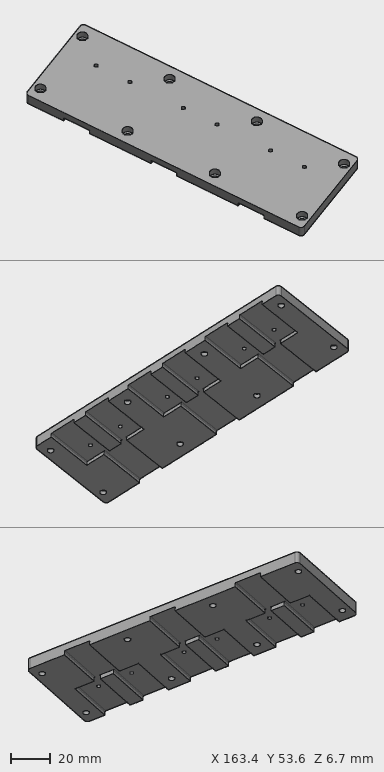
import cadquery as cq

LENGTH = 163.4
WIDTH = 53.6
THICKNESS = 6.7
CORNER_RADIUS = 2.0

STATION_COUNT = 3
STATION_PITCH = 51.5

SCREW_ROW_SPACING = 39.5
SCREW_DIAMETER = 3.3
COUNTERBORE_DIAMETER = 5.5
COUNTERBORE_DEPTH = 4.1

PIN_DIAMETER = 2.0
PIN_SPACING = 20.0
PIN_Y = 7.5

CHANNEL_WIDTH = 15.2
CHANNEL_HEIGHT = 2.5
CHANNEL_FILLET = 0.5
INPUT_SPACING = 23.0


def centred_positions(count, pitch):
    """Return evenly spaced positions centred on zero."""
    return [(i - (count - 1) / 2) * pitch for i in range(count)]


def channel(x, side):
    """Channel with rounded upper corners, from the centre line to the front (-1) or back (+1) edge."""
    channel_length = WIDTH / 2
    return (
        cq.Workplane("XY")
        .center(x, side * channel_length / 2)
        .rect(CHANNEL_WIDTH, channel_length)
        .extrude(CHANNEL_HEIGHT)
        .edges("|Y and >Z")
        .fillet(CHANNEL_FILLET)
    )


def station_channels(x):
    """One output channel meeting two input channels at the centre line."""
    channels = channel(x, -1)
    for offset in centred_positions(2, INPUT_SPACING):
        channels = channels.union(channel(x + offset, 1))
    return channels


station_centres = centred_positions(STATION_COUNT, STATION_PITCH)

result = (
    cq.Workplane("XY")
    .box(LENGTH, WIDTH, THICKNESS, centered=(True, True, False))
    .edges("|Z")
    .fillet(CORNER_RADIUS)
)

for station_x in station_centres:
    result = result.cut(station_channels(station_x))

screw_points = [
    (x, y)
    for x in centred_positions(STATION_COUNT + 1, STATION_PITCH)
    for y in centred_positions(2, SCREW_ROW_SPACING)
]
result = (
    result.faces(">Z")
    .workplane(origin=(0, 0, THICKNESS))
    .pushPoints(screw_points)
    .cboreHole(SCREW_DIAMETER, COUNTERBORE_DIAMETER, COUNTERBORE_DEPTH)
)

pin_points = [
    (x + offset, PIN_Y)
    for x in station_centres
    for offset in centred_positions(2, PIN_SPACING)
]
result = (
    result.faces(">Z")
    .workplane(origin=(0, 0, THICKNESS))
    .pushPoints(pin_points)
    .hole(PIN_DIAMETER)
)